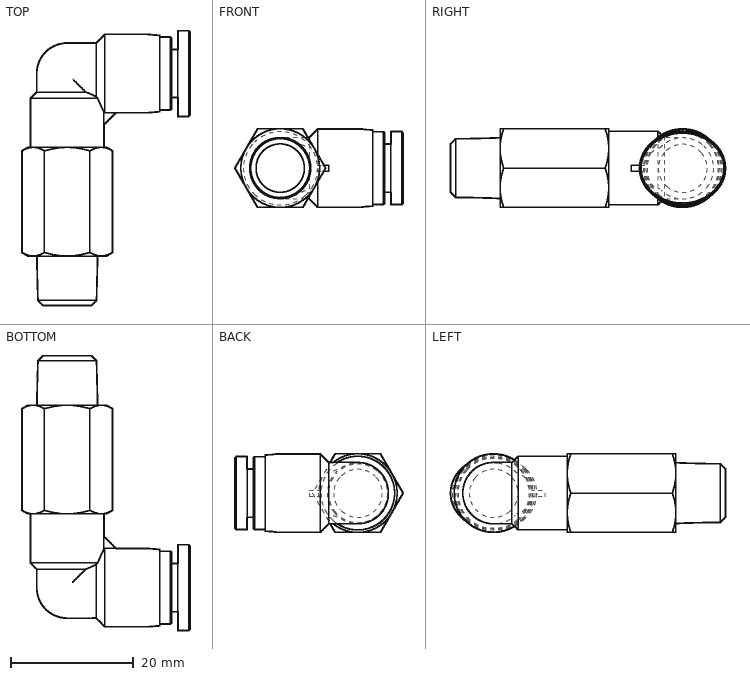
import cadquery as cq
import math


neck_radius = 4.995
stem_radius = 6.0
stem_shoulder_y = -3.0
stem_shoulder_length = stem_radius - neck_radius
port_radius = 6.4
port_shoulder_x = 4.7
port_shoulder_length = port_radius - neck_radius
port_taper_x = 13.1
port_step_x = 15.1
port_step_radius = 6.23
sleeve_radius = 5.95
sleeve_end_x = 17.0
sleeve_chamfer = 0.2
rib_thickness = 1.0
rib_leg = 1.93

collar_tube_radius = 3.95
flange_start_x = 18.0
flange_end_x = 20.03
flange_height = 14.0
flange_depth = 11.9
flange_chamfer = 0.25

hex_across_flats = 12.8
hex_top_y = -12.0
hex_length = 17.7
hex_bevel_angle = 30
overall_length = 44.8
stud_overall_length = overall_length - flange_height / 2 + hex_top_y
thread_length = stud_overall_length - hex_length
thread_root_radius = 4.97
thread_tip_radius = 4.8
thread_face_radius = 3.95
thread_chamfer_length = 0.85

Y_AXIS_START = (0, 0)
Y_AXIS_END = (0, 1)
X_AXIS_END = (1, 0)
HEX_SIDES = 6


def revolve_about_y(points):
    return cq.Workplane("XY").polyline(points).close().revolve(360, Y_AXIS_START, Y_AXIS_END)


def make_stem():
    """Lower arm, ending against the hexagon."""
    shoulder_end_y = stem_shoulder_y - stem_shoulder_length
    return revolve_about_y([
        (0, 0),
        (neck_radius, 0),
        (neck_radius, stem_shoulder_y),
        (stem_radius, shoulder_end_y),
        (stem_radius, hex_top_y),
        (0, hex_top_y),
    ])


def make_port():
    """Side arm with its conical shoulder, tapered band and end sleeve."""
    profile = [
        (0, 0),
        (0, neck_radius),
        (port_shoulder_x, neck_radius),
        (port_shoulder_x + port_shoulder_length, port_radius),
        (port_taper_x, port_radius),
        (port_step_x, port_step_radius),
        (port_step_x, sleeve_radius),
        (sleeve_end_x - sleeve_chamfer, sleeve_radius),
        (sleeve_end_x, sleeve_radius - sleeve_chamfer),
        (sleeve_end_x, 0),
    ]
    return cq.Workplane("XY").polyline(profile).close().revolve(360, Y_AXIS_START, X_AXIS_END)


def make_rib():
    """Small gusset in the inner corner, rooted inside both arms."""
    return (
        cq.Workplane("XY")
        .moveTo(stem_radius + rib_leg, -port_radius)
        .lineTo(stem_radius, -port_radius - rib_leg)
        .lineTo(neck_radius, -port_radius - rib_leg)
        .lineTo(neck_radius, -neck_radius)
        .lineTo(stem_radius + rib_leg, -neck_radius)
        .close()
        .extrude(rib_thickness / 2, both=True)
    )


def make_elbow():
    corner = cq.Workplane("XY").sphere(neck_radius)
    return make_stem().union(make_port()).union(corner).union(make_rib())


def make_collar():
    """Oval release flange on a short round tube that meets the sleeve face."""
    flange = (
        cq.Workplane("YZ", origin=(flange_start_x, 0, 0))
        .ellipse(flange_height / 2, flange_depth / 2)
        .extrude(flange_end_x - flange_start_x)
        .faces(">X").chamfer(flange_chamfer)
    )
    tube = (
        cq.Workplane("YZ", origin=(sleeve_end_x, 0, 0))
        .circle(collar_tube_radius)
        .extrude(flange_start_x - sleeve_end_x)
    )
    return flange.union(tube)


def make_hexagon():
    """Hexagon with corners on X, both ends bevelled by a cone."""
    flat_radius = hex_across_flats / 2
    corner_radius = flat_radius / math.cos(math.pi / HEX_SIDES)
    bevel_length = (corner_radius - flat_radius) * math.tan(math.radians(hex_bevel_angle))
    hex_bottom_y = hex_top_y - hex_length
    prism = (
        cq.Workplane("XZ", origin=(0, hex_top_y, 0))
        .polygon(HEX_SIDES, 2 * corner_radius)
        .extrude(hex_length)
    )
    envelope = revolve_about_y([
        (0, hex_top_y),
        (flat_radius, hex_top_y),
        (corner_radius, hex_top_y - bevel_length),
        (corner_radius, hex_bottom_y + bevel_length),
        (flat_radius, hex_bottom_y),
        (0, hex_bottom_y),
    ])
    return prism.intersect(envelope)


def make_thread():
    """Slightly tapered threaded end, modelled as a plain cone with a chamfered tip."""
    root_y = hex_top_y - hex_length
    tip_y = root_y - thread_length
    return revolve_about_y([
        (0, root_y),
        (thread_root_radius, root_y),
        (thread_tip_radius, tip_y + thread_chamfer_length),
        (thread_face_radius, tip_y),
        (0, tip_y),
    ])


def make_stud():
    return make_hexagon().union(make_thread())


elbow = make_elbow()
collar = make_collar()
stud = make_stud()

result = cq.Compound.makeCompound([elbow.val(), collar.val(), stud.val()])